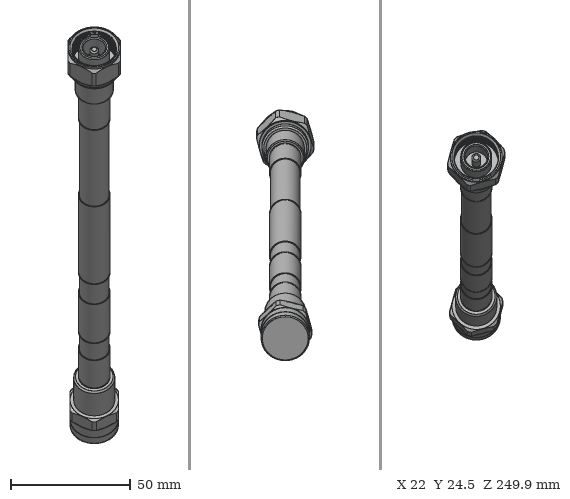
import cadquery as cq
import math

TOTAL_LENGTH = 249.9

SOCKET_MOUTH_DIAMETER = 20.2
SOCKET_MOUTH_LENGTH = 4.5
SOCKET_MOUTH_CHAMFER = 0.5
SOCKET_BARREL_DIAMETER = 20.5
SOCKET_HEX_BOTTOM = 9.7
SOCKET_HEX_TOP = 17.0
SOCKET_HEX_FLATS = SOCKET_BARREL_DIAMETER
SOCKET_HEX_CORNERS = 22.7
SOCKET_HEX_CHAMFER = 0.7
SOCKET_TAIL_DIAMETER = 17.2
SOCKET_TAIL_TOP = 32.5
SOCKET_TAIL_CHAMFER = 0.7

NUT_FLATS = 22.0
NUT_CORNERS = 24.5
NUT_RIM_HEIGHT = 1.2
NUT_CHAMFER = 1.2
NUT_HEX_BOTTOM = 236.5
NUT_COLLAR_DIAMETER = 19.5
NUT_COLLAR_BOTTOM = 233.5
NUT_COLLAR_CHAMFER = 0.7
NUT_BORE_DIAMETER = 18.5
NUT_MOUTH_CHAMFER = 1.0
THREAD_PITCH = 1.0
THREAD_DEPTH = 0.62

RIM_UNDERSIZE = 0.2

PLUG_TAIL_DIAMETER = 16.0
PLUG_TAIL_BOTTOM = 221.5
PLUG_TAIL_CHAMFER = 0.5
PLUG_FLANGE_BOTTOM = 237.5
PLUG_FLANGE_TOP = 240.0
CONTACT_OUTER_DIAMETER = 13.0
CONTACT_INNER_DIAMETER = 9.5
CONTACT_CHAMFER = 0.5
PIN_DIAMETER = 3.7
PIN_TOP = 248.4
PIN_TIP_CHAMFER = 0.7

CABLE_DIAMETER = 12.5
CABLE_INSERTION = 5.0
SLEEVE_DIAMETER = 13.2
BOOT_LENGTH = 18.5
SHORT_LABEL_BOTTOM = 62.2
SHORT_LABEL_TOP = 88.0
LONG_LABEL_BOTTOM = 101.2
LONG_LABEL_TOP = 152.5
SLEEVE_SPANS = [
    (SOCKET_TAIL_TOP, SOCKET_TAIL_TOP + BOOT_LENGTH),
    (SHORT_LABEL_BOTTOM, SHORT_LABEL_TOP),
    (LONG_LABEL_BOTTOM, LONG_LABEL_TOP),
    (PLUG_TAIL_BOTTOM - BOOT_LENGTH, PLUG_TAIL_BOTTOM),
]


def cylinder(diameter, bottom, top):
    return cq.Workplane("XY").workplane(offset=bottom).circle(diameter / 2).extrude(top - bottom)


def revolved(profile_points):
    """Solid turned around Z from (radius, height) points."""
    return cq.Workplane("XZ").polyline(profile_points).close().revolve(360, (0, 0, 0), (0, 1, 0))


def hexagon(flats, bottom, top):
    """Hexagonal prism with two flats facing -X and +X."""
    corner_diameter = flats / math.cos(math.radians(30))
    prism = cq.Workplane("XY").workplane(offset=bottom).polygon(6, corner_diameter).extrude(top - bottom)
    return prism.rotate((0, 0, 0), (0, 0, 1), 30)


def chamfered_hexagon(flats, corners, bottom, top, chamfer, rim_height=0.0):
    """Hexagonal prism with rounded corners, cone-chamfered to a round rim at each end."""
    rim_diameter = flats - RIM_UNDERSIZE
    rim = cylinder(rim_diameter, bottom, top)
    cones = cylinder(corners, bottom + rim_height, top - rim_height)
    cones = cones.faces("<Z or >Z").chamfer(chamfer, (corners - rim_diameter) / 2)
    return hexagon(flats, bottom, top).intersect(rim.union(cones))


def make_cable():
    return cylinder(CABLE_DIAMETER, SOCKET_TAIL_TOP - CABLE_INSERTION, PLUG_TAIL_BOTTOM + CABLE_INSERTION)


def make_sleeve(bottom, top):
    return cylinder(SLEEVE_DIAMETER, bottom, top).cut(cylinder(CABLE_DIAMETER, bottom, top))


def make_socket(cable):
    mouth = cylinder(SOCKET_MOUTH_DIAMETER, 0, SOCKET_MOUTH_LENGTH).faces("<Z").chamfer(SOCKET_MOUTH_CHAMFER)
    barrel = cylinder(SOCKET_BARREL_DIAMETER, SOCKET_MOUTH_LENGTH, SOCKET_HEX_BOTTOM)
    hex_grip = chamfered_hexagon(
        SOCKET_HEX_FLATS, SOCKET_HEX_CORNERS, SOCKET_HEX_BOTTOM, SOCKET_HEX_TOP, SOCKET_HEX_CHAMFER
    )
    tail = cylinder(SOCKET_TAIL_DIAMETER, SOCKET_HEX_TOP, SOCKET_TAIL_TOP)
    tail = tail.faces(">Z").chamfer(SOCKET_TAIL_CHAMFER)
    return mouth.union(barrel).union(hex_grip).union(tail).cut(cable)


def make_plug(cable):
    """Plug body: cable tail, flange held by the nut, tubular contact and centre pin."""
    tail = cylinder(PLUG_TAIL_DIAMETER, PLUG_TAIL_BOTTOM, PLUG_FLANGE_BOTTOM)
    tail = tail.faces("<Z").chamfer(PLUG_TAIL_CHAMFER)
    flange = cylinder(NUT_BORE_DIAMETER, PLUG_FLANGE_BOTTOM, PLUG_FLANGE_TOP)
    contact = cylinder(CONTACT_OUTER_DIAMETER, PLUG_FLANGE_TOP, TOTAL_LENGTH)
    contact = contact.cut(cylinder(CONTACT_INNER_DIAMETER, PLUG_FLANGE_TOP, TOTAL_LENGTH))
    contact = contact.faces(">Z").chamfer(CONTACT_CHAMFER)
    pin = cylinder(PIN_DIAMETER, PLUG_FLANGE_TOP, PIN_TOP).faces(">Z").chamfer(PIN_TIP_CHAMFER)
    return tail.union(flange).union(contact).union(pin).cut(cable)


def make_nut_mouth():
    """Cone that chamfers the open end of the nut bore."""
    bore_radius = NUT_BORE_DIAMETER / 2
    mouth_bottom = TOTAL_LENGTH - NUT_MOUTH_CHAMFER
    return revolved([
        (0, TOTAL_LENGTH),
        (bore_radius + NUT_MOUTH_CHAMFER, TOTAL_LENGTH),
        (bore_radius, mouth_bottom),
        (0, mouth_bottom),
    ])


def make_thread_groove(bottom):
    """V-shaped ring groove in the nut bore, one thread pitch high."""
    bore_radius = NUT_BORE_DIAMETER / 2
    return revolved([
        (bore_radius, bottom),
        (bore_radius + THREAD_DEPTH, bottom + THREAD_PITCH / 2),
        (bore_radius, bottom + THREAD_PITCH),
    ])


def make_nut():
    nut = chamfered_hexagon(
        NUT_FLATS, NUT_CORNERS, NUT_HEX_BOTTOM, TOTAL_LENGTH, NUT_CHAMFER, NUT_RIM_HEIGHT
    )
    collar = cylinder(NUT_COLLAR_DIAMETER, NUT_COLLAR_BOTTOM, NUT_HEX_BOTTOM)
    nut = nut.union(collar.faces("<Z").chamfer(NUT_COLLAR_CHAMFER))
    nut = nut.cut(cylinder(PLUG_TAIL_DIAMETER, NUT_COLLAR_BOTTOM, PLUG_FLANGE_BOTTOM))
    nut = nut.cut(cylinder(NUT_BORE_DIAMETER, PLUG_FLANGE_BOTTOM, TOTAL_LENGTH))
    nut = nut.cut(make_nut_mouth())
    thread_length = TOTAL_LENGTH - NUT_MOUTH_CHAMFER - PLUG_FLANGE_TOP
    for turn in range(round(thread_length / THREAD_PITCH)):
        nut = nut.cut(make_thread_groove(PLUG_FLANGE_TOP + turn * THREAD_PITCH))
    return nut


cable = make_cable()
sleeves = [make_sleeve(bottom, top) for bottom, top in SLEEVE_SPANS]
socket = make_socket(cable)
plug = make_plug(cable)
nut = make_nut()

result = cq.Compound.makeCompound(
    [cable.val(), *[sleeve.val() for sleeve in sleeves], socket.val(), plug.val(), nut.val()]
)